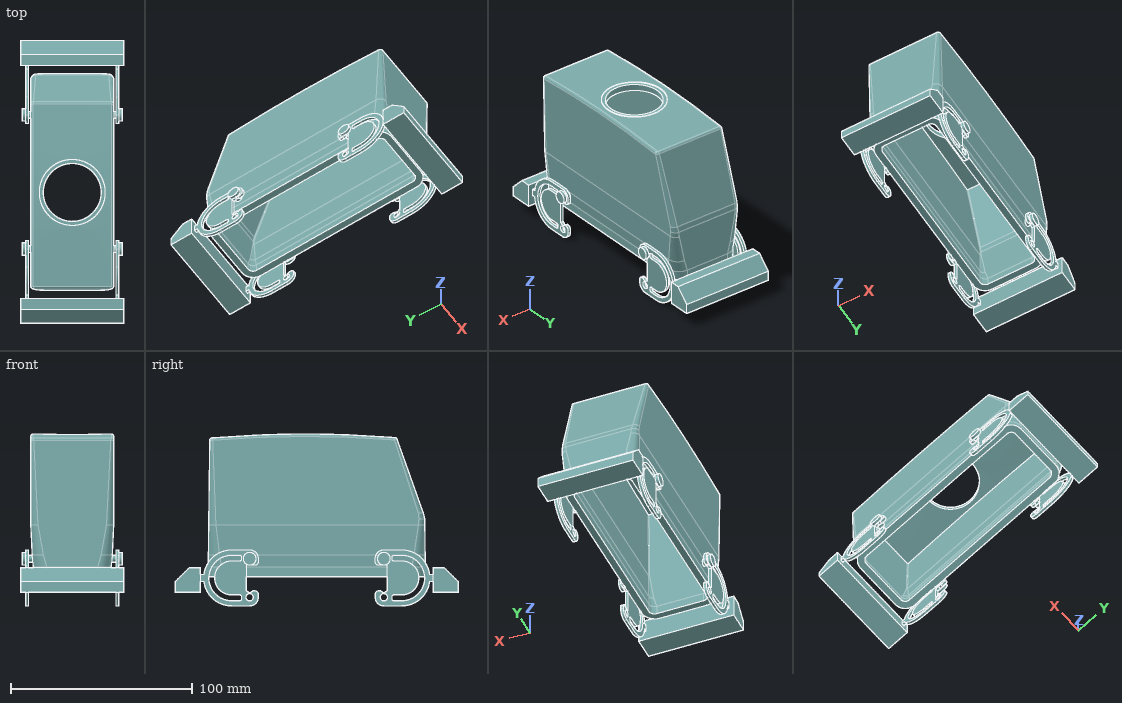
import cadquery as cq
import math

SIN_45 = math.sqrt(0.5)

HOOD_TOP = 78.8
RIM_TOP = 5.3
FLANK_BOTTOM = 12.2
FLANK_TOP = 28.7
SHOULDER_BOTTOM = 31.8
SHOULDER_TOP = 35.1
BLANK_TOP = 81.1

RIM_HALF_WIDTH = 21.5
FLANK_HALF_WIDTH = 22.2
HOOD_HALF_WIDTH = 23.0

END_REACH = 59.9
BLANK_TOP_REACH = 59.0
SHOULDER_REACH = 58.8
SLOPE_TOP_REACH = 42.5
END_TAPER = (END_REACH - BLANK_TOP_REACH) / (BLANK_TOP - RIM_TOP)

RIM_CORNER = 7.5
FLANK_CORNER = 6.2
FRONT_CORNER = 4.0
BACK_CORNER = 3.6
SHOULDER_BOTTOM_CORNER = 3.3
SHOULDER_TOP_CORNER = 2.8
TOP_CORNER = 1.4
MIN_CORNER = 0.5

CROWN_Y = -6.2
CROWN_RADIUS = 624.0
TOP_FILLET = 1.4
WALL = 4.2

ENTRY_Y = -5.8
ENTRY_DIAMETER = 31.8
SPOT_FACE_DIAMETER = 36.3
SPOT_FACE_DEPTH = 0.5

LEVER_Z = -0.6
PLATE_OUTER_X = 25.7
PLATE_THICKNESS = 1.7
PLATE_INNER_X = PLATE_OUTER_X - PLATE_THICKNESS
BOW_Y = 47.0
BOW_RADIUS = 15.5
SLOT_OUTER_RADIUS = 12.5
SLOT_INNER_RADIUS = 9.4
SLOT_END_Y = 41.5
SLOT_CORNER = 1.0
WEB_EDGE_Y = 38.8

HOOK_Y = 37.0
HOOK_OFFSET = 10.6
HOOK_RADIUS = BOW_RADIUS - HOOK_OFFSET
HOOK_TIP_RADIUS = 2.0
HOOK_TIP_RISE = 3.6
NOTCH_RISE = 2.3
NOTCH_HALF_WIDTH = WEB_EDGE_Y - HOOK_Y

PIN_DIAMETER = 3.9
PIN_HEAD_DIAMETER = 7.0
PIN_HEAD_OUTER_X = 27.6
PIN_INNER_X = 20.3
PIN_Z = LEVER_Z + HOOK_OFFSET

NECK_HEIGHT = 4.0
GRIP_LENGTH = 57.0
GRIP_INNER_Y = 64.1
GRIP_OUTER_Y = 78.0
GRIP_BOTTOM = -8.6
GRIP_TOP = 5.1
GRIP_CHAMFER = 7.8


def end_reach(z):
    """Distance of the slightly drafted end wall from Y = 0 at height z."""
    return END_REACH - END_TAPER * (z - RIM_TOP)


LOWER_LEVELS = [
    (0, RIM_HALF_WIDTH, END_REACH, RIM_CORNER),
    (RIM_TOP, RIM_HALF_WIDTH, END_REACH, RIM_CORNER),
    (FLANK_BOTTOM, FLANK_HALF_WIDTH, end_reach(FLANK_BOTTOM), FLANK_CORNER),
]
FRONT_LEVELS = LOWER_LEVELS + [
    (FLANK_TOP, HOOD_HALF_WIDTH, end_reach(FLANK_TOP), FRONT_CORNER),
    (BLANK_TOP, HOOD_HALF_WIDTH, BLANK_TOP_REACH, TOP_CORNER),
]
BACK_LEVELS = LOWER_LEVELS + [
    (FLANK_TOP, HOOD_HALF_WIDTH, end_reach(FLANK_TOP), BACK_CORNER),
    (SHOULDER_BOTTOM, HOOD_HALF_WIDTH, end_reach(SHOULDER_BOTTOM), SHOULDER_BOTTOM_CORNER),
    (SHOULDER_TOP, HOOD_HALF_WIDTH, SHOULDER_REACH, SHOULDER_TOP_CORNER),
    (BLANK_TOP, HOOD_HALF_WIDTH, SLOPE_TOP_REACH, TOP_CORNER),
]


def half_section(level, inset):
    """Half of a rounded rectangle on the +Y side, shrunk by inset."""
    z, half_width, reach, corner = level
    x = half_width - inset
    y = reach - inset
    r = max(corner - inset, MIN_CORNER)
    bulge = r * (1 - SIN_45)
    return (
        cq.Workplane(origin=(0, 0, z))
        .moveTo(-x, 0)
        .lineTo(x, 0)
        .lineTo(x, y - r)
        .threePointArc((x - bulge, y - bulge), (x - r, y))
        .lineTo(r - x, y)
        .threePointArc((bulge - x, y - bulge), (-x, y - r))
        .close()
        .val()
    )


def half_blank(levels, inset):
    sections = [half_section(level, inset) for level in levels]
    blank = cq.Workplane()
    for lower, upper in zip(sections, sections[1:]):
        blank = blank.add(cq.Solid.makeLoft([lower, upper], True))
    return blank.combine()


def hood_blank(inset):
    """Solid hood shape under the crowned top; an inset gives the cavity inside the walls."""
    back = half_blank(BACK_LEVELS, inset)
    front = half_blank(FRONT_LEVELS, inset).mirror("XZ")
    crown = (
        cq.Workplane("YZ")
        .center(CROWN_Y, HOOD_TOP - CROWN_RADIUS)
        .circle(CROWN_RADIUS - inset)
        .extrude(2 * HOOD_HALF_WIDTH, both=True)
    )
    return back.union(front).intersect(crown)


def cable_entry():
    """Bore through the top wall with a shallow flat face round it."""
    bore = (
        cq.Workplane(origin=(0, ENTRY_Y, HOOD_TOP / 2))
        .circle(ENTRY_DIAMETER / 2)
        .extrude(HOOD_TOP)
    )
    spot_face = (
        cq.Workplane(origin=(0, ENTRY_Y, HOOD_TOP - SPOT_FACE_DEPTH))
        .circle(SPOT_FACE_DIAMETER / 2)
        .extrude(HOOD_TOP)
    )
    return bore.union(spot_face)


def pivot_pin():
    """Headed pin at the +X, +Y corner."""
    shaft = (
        cq.Workplane("YZ", origin=(PIN_INNER_X, HOOK_Y, PIN_Z))
        .circle(PIN_DIAMETER / 2)
        .extrude(PLATE_OUTER_X - PIN_INNER_X)
    )
    head = (
        cq.Workplane("YZ", origin=(PLATE_OUTER_X, HOOK_Y, PIN_Z))
        .circle(PIN_HEAD_DIAMETER / 2)
        .extrude(PIN_HEAD_OUTER_X - PLATE_OUTER_X)
    )
    return shaft.union(head)


def make_hood():
    shell = hood_blank(0).faces(">Z").edges().fillet(TOP_FILLET).cut(hood_blank(WALL))
    hood = shell.cut(cable_entry())
    back_pins = pivot_pin().union(pivot_pin().mirror("YZ"))
    return hood.union(back_pins).union(back_pins.mirror("XZ"))


def half_plate():
    """Lower half of a lever plate: web, bow arm and the hook at its end."""
    hook_side_y = HOOK_Y - HOOK_RADIUS
    tip_y = hook_side_y + HOOK_TIP_RADIUS
    tip_z = HOOK_TIP_RISE - HOOK_OFFSET
    tip_bulge = HOOK_TIP_RADIUS * (1 - SIN_45)
    return (
        cq.Workplane("YZ")
        .moveTo(WEB_EDGE_Y, 0)
        .lineTo(WEB_EDGE_Y, tip_z)
        .lineTo(HOOK_Y, NOTCH_RISE - HOOK_OFFSET)
        .lineTo(HOOK_Y - NOTCH_HALF_WIDTH, tip_z)
        .lineTo(tip_y, tip_z)
        .threePointArc((hook_side_y + tip_bulge, tip_z - tip_bulge), (hook_side_y, tip_z - HOOK_TIP_RADIUS))
        .lineTo(hook_side_y, -HOOK_OFFSET)
        .threePointArc(
            (HOOK_Y - SIN_45 * HOOK_RADIUS, -HOOK_OFFSET - SIN_45 * HOOK_RADIUS),
            (HOOK_Y, -BOW_RADIUS),
        )
        .lineTo(BOW_Y, -BOW_RADIUS)
        .threePointArc(
            (BOW_Y + SIN_45 * BOW_RADIUS, -SIN_45 * BOW_RADIUS),
            (BOW_Y + BOW_RADIUS, 0),
        )
        .close()
        .extrude(PLATE_THICKNESS)
    )


def bow_slot():
    """U-shaped slot that separates the springy bow from the web."""
    return (
        cq.Workplane("YZ")
        .moveTo(SLOT_END_Y, SLOT_OUTER_RADIUS)
        .lineTo(BOW_Y, SLOT_OUTER_RADIUS)
        .threePointArc((BOW_Y + SLOT_OUTER_RADIUS, 0), (BOW_Y, -SLOT_OUTER_RADIUS))
        .lineTo(SLOT_END_Y, -SLOT_OUTER_RADIUS)
        .lineTo(SLOT_END_Y, -SLOT_INNER_RADIUS)
        .lineTo(BOW_Y, -SLOT_INNER_RADIUS)
        .threePointArc((BOW_Y + SLOT_INNER_RADIUS, 0), (BOW_Y, SLOT_INNER_RADIUS))
        .lineTo(SLOT_END_Y, SLOT_INNER_RADIUS)
        .close()
        .extrude(PLATE_THICKNESS)
        .edges("|X and <Y")
        .fillet(SLOT_CORNER)
    )


def lever_plate():
    """Lever plate on the +X side of the hood, symmetric about its mid height."""
    neck_start_y = BOW_Y + SLOT_OUTER_RADIUS
    neck = (
        cq.Workplane("YZ")
        .center((neck_start_y + GRIP_INNER_Y) / 2, 0)
        .rect(GRIP_INNER_Y - neck_start_y, NECK_HEIGHT)
        .extrude(PLATE_THICKNESS)
    )
    pin_holes = (
        cq.Workplane("YZ")
        .pushPoints([(HOOK_Y, -HOOK_OFFSET), (HOOK_Y, HOOK_OFFSET)])
        .circle(PIN_DIAMETER / 2)
        .extrude(PLATE_THICKNESS)
    )
    lower = half_plate()
    plate = lower.union(lower.mirror("XY")).union(neck).cut(bow_slot()).cut(pin_holes)
    return plate.translate((PLATE_INNER_X, 0, LEVER_Z))


def grip_bar():
    return (
        cq.Workplane("YZ")
        .moveTo(GRIP_INNER_Y, GRIP_BOTTOM)
        .lineTo(GRIP_OUTER_Y, GRIP_BOTTOM)
        .lineTo(GRIP_OUTER_Y, GRIP_TOP - GRIP_CHAMFER)
        .lineTo(GRIP_OUTER_Y - GRIP_CHAMFER, GRIP_TOP)
        .lineTo(GRIP_INNER_Y, GRIP_TOP)
        .close()
        .extrude(GRIP_LENGTH / 2, both=True)
    )


def make_lever():
    """Lever at the +Y end: a grip bar that joins two bow plates."""
    plate = lever_plate()
    return grip_bar().union(plate).union(plate.mirror("YZ"))


back_lever = make_lever()
hood = make_hood().union(back_lever)
front_lever = back_lever.mirror("XZ")

result = cq.Compound.makeCompound([hood.val(), front_lever.val()])